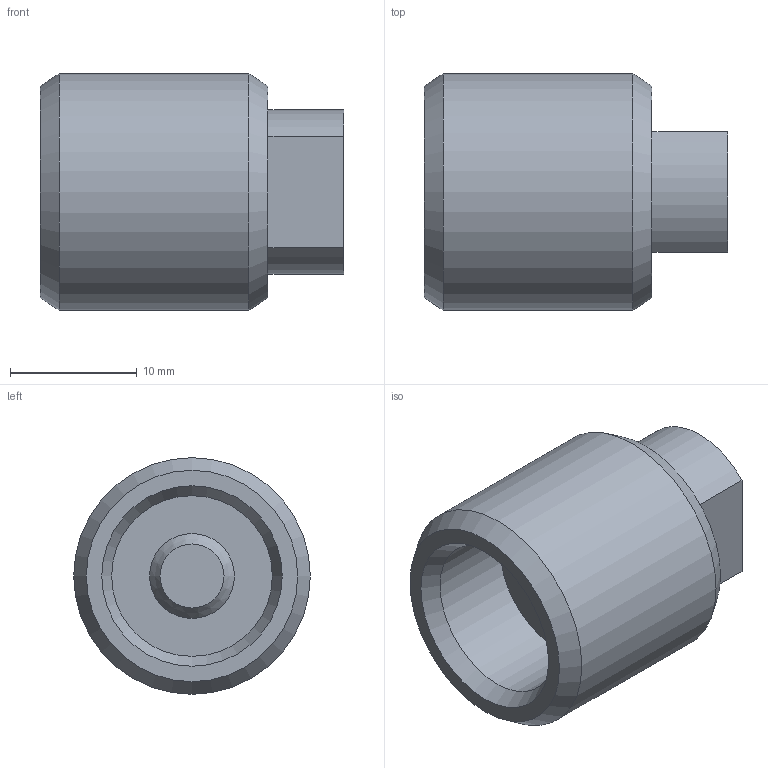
import cadquery as cq

body_radius = 9.35
body_length = 18.0
rim_radius = 8.35
bevel_length = 1.5

bore_radius = 6.35
bore_mouth_radius = 7.13
lead_in_length = 1.36
bore_depth = 8.1

button_base_radius = 3.35
button_tip_radius = 2.53
button_height = 1.05

shank_radius = 6.48
shank_length = 6.0
flat_width = 9.5


def make_body():
    """Revolve the bevelled, bored body together with its button."""
    button_tip_x = bore_depth - button_height
    half_section = [
        (button_tip_x, 0),
        (button_tip_x, button_tip_radius),
        (bore_depth, button_base_radius),
        (bore_depth, bore_radius),
        (lead_in_length, bore_radius),
        (0, bore_mouth_radius),
        (0, rim_radius),
        (bevel_length, body_radius),
        (body_length - bevel_length, body_radius),
        (body_length, rim_radius),
        (body_length, 0),
    ]
    return cq.Workplane("XY").polyline(half_section).close().revolve(360, (0, 0, 0), (1, 0, 0))


def make_shank():
    """Round shank trimmed to the distance across its flats."""
    end_face = cq.Workplane("YZ", origin=(body_length, 0, 0))
    cylinder = end_face.circle(shank_radius).extrude(shank_length)
    across_flats = end_face.rect(flat_width, 2 * shank_radius).extrude(shank_length)
    return cylinder.intersect(across_flats)


result = make_body().union(make_shank())